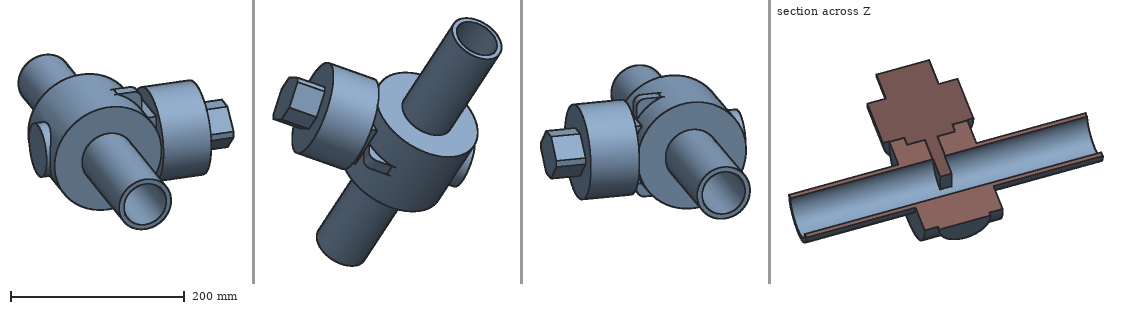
import cadquery as cq

pipe_length = 360.0
pipe_diameter = 63.5
bore_diameter = 51.5
drum_diameter = 130.0
drum_width = 95.0
boss_diameter = 62.5
boss_end_y = -69.0

blade_thickness = 14.5
blade_height = 120.0
blade_back_y = 54.7
blade_corner_radius = 10.0
neck_width = 57.5
neck_height = 70.5
cap_diameter = 110.0
cap_front_y = drum_diameter / 2
cap_back_y = 123.0
head_width = 64.5
head_height = 51.5
head_corner_cut = 22.0
head_back_y = 158.0


def cylinder_along_x(diameter, length):
    """Cylinder on the X axis, centred at the origin."""
    return cq.Workplane("YZ").circle(diameter / 2).extrude(length / 2, both=True)


def cylinder_along_y(diameter, start_y, end_y):
    """Cylinder on the Y axis between two Y positions."""
    plane = cq.Workplane("XZ", origin=(0, start_y, 0))
    return plane.circle(diameter / 2).extrude(start_y - end_y)


def box_along_y(width, height, start_y, end_y):
    """Box centred on the Y axis between two Y positions."""
    plane = cq.Workplane("XZ", origin=(0, start_y, 0))
    return plane.rect(width, height).extrude(start_y - end_y)


def make_blade():
    """Flat blade covering the +Y half of the bore, with rounded back corners."""
    blade = box_along_y(blade_thickness, blade_height, 0, blade_back_y)
    return blade.faces(">Y").edges("|X").fillet(blade_corner_radius)


def make_head():
    """Eight-sided head with 45-degree corner cuts."""
    head = box_along_y(head_width, head_height, cap_back_y, head_back_y)
    return head.edges("|Y").chamfer(head_corner_cut)


def make_insert():
    """Blade, neck, cap and head as one solid."""
    neck = box_along_y(neck_width, neck_height, blade_back_y, cap_front_y)
    cap = cylinder_along_y(cap_diameter, cap_front_y, cap_back_y)
    return make_blade().union(neck).union(cap).union(make_head())


def make_housing(insert):
    """Bored pipe, drum and boss, with a recess that fits the insert."""
    outside = cylinder_along_x(pipe_diameter, pipe_length)
    outside = outside.union(cylinder_along_x(drum_diameter, drum_width))
    outside = outside.union(cylinder_along_y(boss_diameter, 0, boss_end_y))
    bored = outside.cut(cylinder_along_x(bore_diameter, pipe_length))
    return bored.cut(insert)


insert = make_insert()
housing = make_housing(insert)

result = cq.Compound.makeCompound([housing.solids().val(), insert.solids().val()])